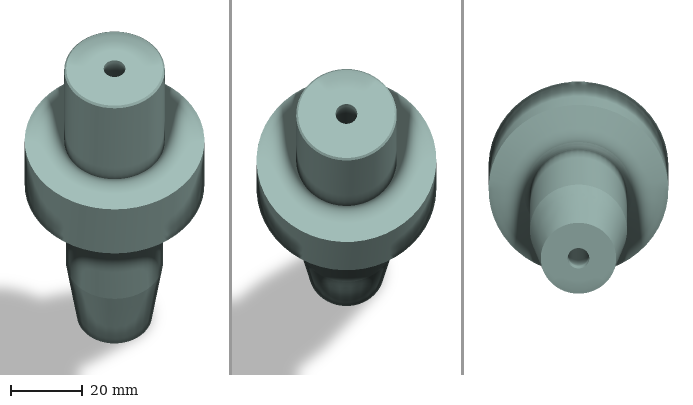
import cadquery as cq

total_length = 106.0
taper_length = 22.8
flange_bottom = 56.0
flange_top = 74.9

flange_diameter = 50.0
shank_diameter = 28.0
spigot_diameter = 27.0
tip_diameter = 21.0
bore_diameter = 6.0

underside_drop = 3.1
underside_fillet = 2.0
shank_chamfer = 0.5
edge_search_margin = 0.5

flange_radius = flange_diameter / 2
shank_radius = shank_diameter / 2
spigot_radius = spigot_diameter / 2
underside_root = flange_bottom - underside_drop

body = (
    cq.Workplane("XZ")
    .moveTo(0, 0)
    .lineTo(tip_diameter / 2, 0)
    .lineTo(spigot_radius, taper_length)
    .lineTo(spigot_radius, underside_root)
    .lineTo(flange_radius, flange_bottom)
    .lineTo(flange_radius, flange_top)
    .lineTo(shank_radius, flange_top)
    .lineTo(shank_radius, total_length)
    .lineTo(0, total_length)
    .close()
    .revolve(360, (0, 0, 0), (0, 1, 0))
)

root_edge = cq.selectors.BoxSelector(
    (-flange_radius, -flange_radius, underside_root - edge_search_margin),
    (flange_radius, flange_radius, underside_root + edge_search_margin),
    boundingbox=True,
)
body = body.edges(root_edge).fillet(underside_fillet)

body = body.faces(">Z").edges().chamfer(shank_chamfer)

bore = cq.Workplane("XY").circle(bore_diameter / 2).extrude(total_length)
result = body.cut(bore)